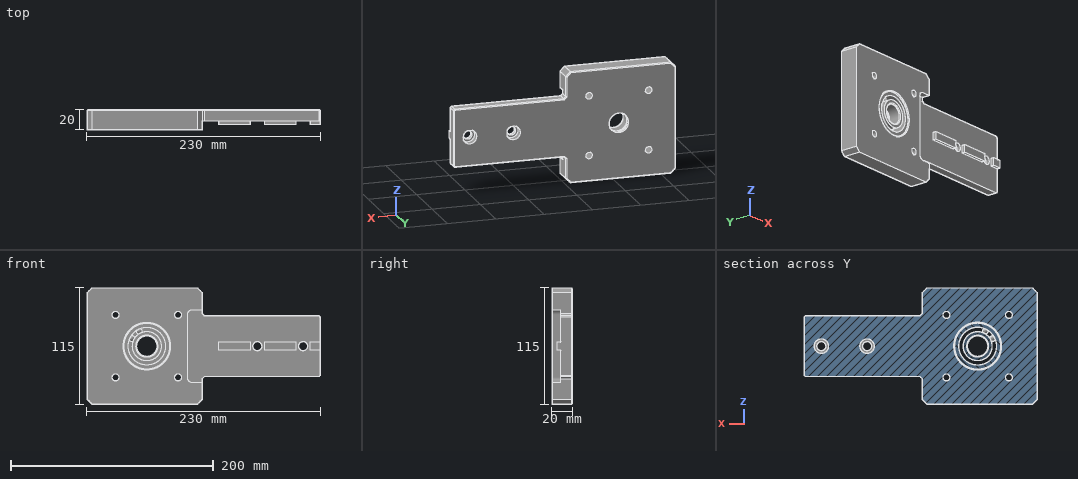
import cadquery as cq
import math


overall_length = 230.0
plate_height = 115.0
plate_width = 113.6
plate_depth = 20.0
plate_corner_chamfer = 4.8
back_chamfer = 1.0
arm_height = 60.3
arm_depth = 11.5
arm_corner_chamfer = 1.4
inner_corner_chamfer = 2.0
arm_front = plate_depth - arm_depth

relief_start = 99.0
relief_height = 71.8
relief_corner_radius = 4.8

tongue_start = 129.7
tongue_length = 31.3
tongue_pitch = 45.0
tongue_count = 3
tongue_width = 8.0
tongue_rise = 3.5
arm_hole_count = tongue_count - 1
arm_hole_diameter = 8.7
counterbore_diameter = 14.0
counterbore_depth = 7.4
first_arm_hole = tongue_start + (tongue_length + tongue_pitch) / 2

bearing_x = 58.9
plate_hole_spacing = 61.6
plate_hole_diameter = 6.7

bearing_recess = 1.0
bearing_width = 14.0
bearing_diameter = 47.0
outer_ring_inner_diameter = 37.0
inner_ring_outer_diameter = 28.8
bore_diameter = 20.0
ring_chamfer = 1.0
ball_diameter = 5.8
ball_angles = (117, 153)
pitch_radius = (outer_ring_inner_diameter + inner_ring_outer_diameter) / 4
bearing_middle = bearing_recess + bearing_width / 2


def block(x_start, x_end, y_start, y_end, height):
    """Box centred on z = 0."""
    size = (x_end - x_start, y_end - y_start, height)
    return cq.Workplane("XY").box(*size, centered=(False, False, True)).translate((x_start, y_start, 0))


def rod(x, z, diameter, y_start, length):
    """Cylinder running toward +Y."""
    return cq.Workplane(cq.Solid.makeCylinder(diameter / 2, length, cq.Vector(x, y_start, z), cq.Vector(0, 1, 0)))


def make_plate_and_arm():
    plate = block(0, plate_width, 0, plate_depth, plate_height).edges("|Y").chamfer(plate_corner_chamfer)
    relief = block(relief_start, overall_length, 0, arm_front, relief_height)
    relief = relief.edges("|Y and <X").fillet(relief_corner_radius)
    arm = block(relief_start, overall_length, arm_front, plate_depth, arm_height)
    arm = arm.edges("|Y and >X").chamfer(arm_corner_chamfer)
    body = plate.cut(relief).union(arm)

    edge_reach = inner_corner_chamfer / 2
    corner_finder = cq.selectors.BoxSelector(
        (plate_width - edge_reach, arm_front, -arm_height / 2 - edge_reach),
        (plate_width + edge_reach, plate_depth, arm_height / 2 + edge_reach),
    )
    body = body.edges("|Y").edges(corner_finder).chamfer(inner_corner_chamfer)
    return body.faces(">Y").chamfer(back_chamfer)


def make_tongues():
    tongues = cq.Workplane("XY")
    for index in range(tongue_count):
        start = tongue_start + index * tongue_pitch
        end = min(start + tongue_length, overall_length)
        tongues = tongues.add(block(start, end, arm_front - tongue_rise, arm_front, tongue_width))
    return tongues


def make_housing():
    body = make_plate_and_arm()
    for tongue in make_tongues().vals():
        body = body.union(cq.Workplane(tongue))
    for index in range(arm_hole_count):
        x = first_arm_hole + index * tongue_pitch
        body = body.cut(rod(x, 0, arm_hole_diameter, 0, plate_depth))
        counterbore_floor = plate_depth - counterbore_depth
        body = body.cut(rod(x, 0, counterbore_diameter, counterbore_floor, counterbore_depth))
    for x_side in (-1, 1):
        for z_side in (-1, 1):
            x = bearing_x + x_side * plate_hole_spacing / 2
            z = z_side * plate_hole_spacing / 2
            body = body.cut(rod(x, z, plate_hole_diameter, 0, plate_depth))
    seat = rod(bearing_x, 0, bearing_diameter, 0, bearing_recess + bearing_width)
    shaft_hole = rod(bearing_x, 0, bore_diameter, 0, plate_depth)
    return body.cut(seat).cut(shaft_hole)


def ring(outer_diameter, inner_diameter):
    outside = rod(bearing_x, 0, outer_diameter, bearing_recess, bearing_width)
    return outside.cut(rod(bearing_x, 0, inner_diameter, bearing_recess, bearing_width))


def make_ball(angle):
    x = bearing_x + pitch_radius * math.cos(math.radians(angle))
    z = pitch_radius * math.sin(math.radians(angle))
    return cq.Workplane("XY").sphere(ball_diameter / 2).translate((x, bearing_middle, z))


def cut_ball_seats(body):
    for angle in ball_angles:
        body = body.cut(make_ball(angle))
    return body


def make_outer_ring():
    body = ring(bearing_diameter, outer_ring_inner_diameter)
    outer_edges = cq.selectors.RadiusNthSelector(-1)
    return cut_ball_seats(body.edges("%CIRCLE").edges(outer_edges).chamfer(ring_chamfer))


def make_inner_ring():
    body = ring(inner_ring_outer_diameter, bore_diameter)
    bore_edges = cq.selectors.RadiusNthSelector(0)
    return cut_ball_seats(body.edges("%CIRCLE").edges(bore_edges).chamfer(ring_chamfer))


housing = make_housing()
outer_ring = make_outer_ring()
inner_ring = make_inner_ring()
balls = [make_ball(angle).val() for angle in ball_angles]

result = cq.Compound.makeCompound([housing.val(), outer_ring.val(), inner_ring.val(), *balls])